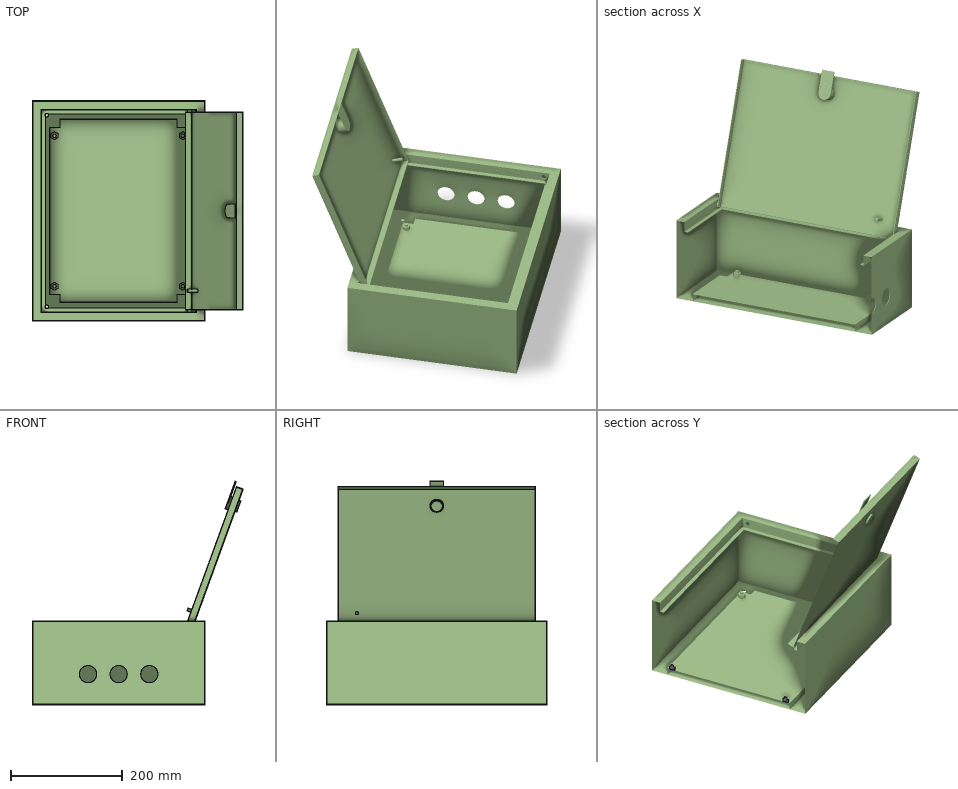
import cadquery as cq
import math

sheet = 1.0

box_x = 309.8
box_y = 395.0
box_z = 150.0
rim = 17.0
lip_depth = 19.0
ledge = 7.0
entry_hole_diameter = 31.0
entry_hole_pitch = 55.0
entry_hole_z = 55.0
wall_hole_diameter = 6.5
wall_hole_x = 129.0
wall_hole_y = 172.0
hinge_diameter = 8.0
hinge_x = 127.0
hinge_z = 140.3

door_length = 268.5
door_width = 354.5
door_depth = 13.0
door_tilt = 20.0
door_foot_x = 131.5
door_foot_z = 134.3
stud_diameter = 5.5
stud_tip = 20.0
stud_up = 31.5
stud_y = -143.0

lock_diameter = 24.5
lock_up = 236.5
knob_diameter = 21.0
knob_height = 3.2
cam_gap = 3.5
cam_sheet = 2.0
cam_reach = 40.5

plate_top = 14.5
plate_x = 248.0
plate_y = 329.0
notch_x = 19.2
notch_y = 15.0

screw_x = 115.0
screw_y = 135.0
head_across_flats = 12.0
head_height = 7.0
screw_end_diameter = 6.5
screw_end_height = 4.0

opening_x = box_x - 2 * rim
opening_y = box_y - 2 * rim


def block(size_x, size_y, z_bottom, z_top):
    """A block centred on the Z axis between two heights."""
    return cq.Workplane("XY").workplane(offset=z_bottom).rect(size_x, size_y).extrude(z_top - z_bottom)


def make_box():
    """The folded housing: thin walls, and a flange, lip and ledge around the opening."""
    ledge_top = box_z - lip_depth
    body = block(box_x, box_y, 0, box_z)
    body = body.cut(block(box_x - 2 * sheet, box_y - 2 * sheet, sheet, box_z - sheet))
    frame = block(opening_x + 2 * sheet, opening_y + 2 * sheet, ledge_top - sheet, box_z)
    body = body.union(frame)
    body = body.cut(block(opening_x, opening_y, ledge_top, box_z))
    body = body.cut(block(opening_x - 2 * ledge, opening_y - 2 * ledge, ledge_top - sheet, ledge_top))

    entry_holes = (
        cq.Workplane("XZ", origin=(0, -box_y / 2 + sheet, entry_hole_z))
        .rarray(entry_hole_pitch, 4, 3, 1)
        .circle(entry_hole_diameter / 2)
        .extrude(sheet)
    )
    wall_holes = (
        cq.Workplane("XY")
        .rarray(2 * wall_hole_x, 2 * wall_hole_y, 2, 2)
        .circle(wall_hole_diameter / 2)
        .extrude(sheet)
    )
    hinge_holes = (
        cq.Workplane("XZ", origin=(0, opening_y / 2 + sheet, hinge_z))
        .rarray(2 * hinge_x, 4, 2, 1)
        .circle(hinge_diameter / 2)
        .extrude(opening_y + 2 * sheet)
    )
    return body.cut(entry_holes).cut(wall_holes).cut(hinge_holes)


def open_door(flat):
    """Stand a flat door body up on its foot, tilted past upright."""
    return flat.rotate((0, 0, 0), (0, 1, 0), door_tilt - 90).translate((door_foot_x, 0, door_foot_z))


def flat_cylinder(up, y, diameter, z_bottom, z_top):
    """A cylinder square to the flat door."""
    return cq.Workplane("XY", origin=(up, y, z_bottom)).circle(diameter / 2).extrude(z_top - z_bottom)


def make_door():
    """A shallow tray, open towards the box, with an earthing stud inside and a hinge pin on each side."""
    middle = door_length / 2
    tray = block(door_length, door_width, 0, door_depth)
    tray = tray.cut(block(door_length - 2 * sheet, door_width - 2 * sheet, sheet, door_depth))
    tray = tray.translate((middle, 0, 0))
    stud = flat_cylinder(stud_up, stud_y, stud_diameter, sheet / 2, stud_tip)
    lock_hole = flat_cylinder(lock_up, 0, lock_diameter, 0, sheet)
    door = open_door(tray.union(stud).cut(lock_hole))
    pin_start = door_width / 2 - sheet
    pin_end = opening_y / 2 + sheet
    pin = (
        cq.Workplane("XZ", origin=(hinge_x, -pin_start, hinge_z))
        .circle(hinge_diameter / 2)
        .extrude(pin_end - pin_start)
    )
    return door.union(pin).union(pin.mirror("XZ"))


def make_lock():
    """The lock barrel through the door, with the cam that reaches past the door's free edge."""
    cam_base = door_depth + cam_gap
    barrel = flat_cylinder(lock_up, 0, lock_diameter, 0, cam_base)
    knob = flat_cylinder(lock_up, 0, knob_diameter, -knob_height, 0)
    cam = (
        cq.Workplane("XY", origin=(lock_up, 0, cam_base))
        .moveTo(cam_reach, lock_diameter / 2)
        .lineTo(0, lock_diameter / 2)
        .threePointArc((-lock_diameter / 2, 0), (0, -lock_diameter / 2))
        .lineTo(cam_reach, -lock_diameter / 2)
        .close()
        .extrude(cam_sheet)
    )
    return open_door(barrel.union(knob).union(cam))


def make_plate():
    """The mounting plate: notched corners, and four edges bent down to the box floor."""
    long_x = plate_x - 2 * notch_x
    short_y = plate_y - 2 * notch_y
    plate = block(plate_x, short_y, sheet, plate_top).union(block(long_x, plate_y, sheet, plate_top))
    plate = plate.cut(block(plate_x - 2 * sheet, short_y, sheet, plate_top - sheet))
    return plate.cut(block(long_x, plate_y - 2 * sheet, sheet, plate_top - sheet))


def make_screw(x, y):
    """A hexagon on the plate with a round end standing above it."""
    across_corners = head_across_flats / math.cos(math.radians(30))
    head = (
        cq.Workplane("XY", origin=(x, y, plate_top))
        .transformed(rotate=(0, 0, 30))
        .polygon(6, across_corners)
        .extrude(head_height)
    )
    return head.faces(">Z").workplane().circle(screw_end_diameter / 2).extrude(screw_end_height)


box = make_box()
door = make_door()
lock = make_lock()
plate = make_plate()
screws = [make_screw(x, y) for x in (-screw_x, screw_x) for y in (-screw_y, screw_y)]

result = cq.Compound.makeCompound(
    [box.val(), door.val(), lock.val(), plate.val(), *[screw.val() for screw in screws]]
)